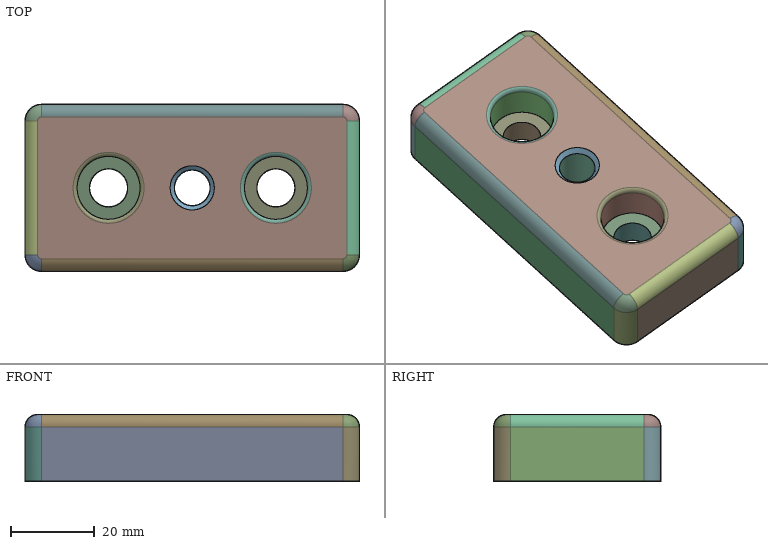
import cadquery as cq

length = 80.0
width = length / 2
height = length / 5
corner_radius = 4.0
top_edge_radius = 3.0

bolt_spacing = length / 2
bolt_hole_diameter = 9.0
counterbore_diameter = 15.0
counterbore_depth = 9.0
counterbore_rim_radius = 1.0

centre_hole_diameter = 8.5
centre_hole_chamfer = 1.0


def rounded_block():
    """Block standing on Z = 0 with rounded upright corners and a rounded top edge."""
    block = cq.Workplane("XY").box(length, width, height, centered=(True, True, False))
    block = block.edges("|Z").fillet(corner_radius)
    return block.faces(">Z").edges().fillet(top_edge_radius)


def stepped_bolt_hole():
    """Solid filling one bolt hole and its counterbore, on the Z axis."""
    through_hole = cq.Workplane("XY").circle(bolt_hole_diameter / 2).extrude(height)
    counterbore = (
        cq.Workplane("XY")
        .workplane(offset=height - counterbore_depth)
        .circle(counterbore_diameter / 2)
        .extrude(counterbore_depth)
    )
    return through_hole.union(counterbore)


def round_counterbore_rim(block, x):
    """Round the top rim of the counterbore centred at x."""
    reach = counterbore_diameter / 2 + counterbore_rim_radius
    around_rim = cq.selectors.BoxSelector(
        (x - reach, -reach, height - counterbore_rim_radius),
        (x + reach, reach, height + counterbore_rim_radius),
    )
    return block.faces(">Z").edges(around_rim).fillet(counterbore_rim_radius)


def countersunk_centre_hole():
    """Solid filling the middle hole, widening in a 45 degree cone at the top."""
    through_hole = cq.Workplane("XY").circle(centre_hole_diameter / 2).extrude(height)
    countersink = (
        cq.Workplane("XY")
        .workplane(offset=height - centre_hole_chamfer)
        .circle(centre_hole_diameter / 2)
        .workplane(offset=centre_hole_chamfer)
        .circle(centre_hole_diameter / 2 + centre_hole_chamfer)
        .loft(ruled=True)
    )
    return through_hole.union(countersink)


result = rounded_block().cut(countersunk_centre_hole())
for bolt_x in (-bolt_spacing / 2, bolt_spacing / 2):
    result = result.cut(stepped_bolt_hole().translate((bolt_x, 0, 0)))
    result = round_counterbore_rim(result, bolt_x)